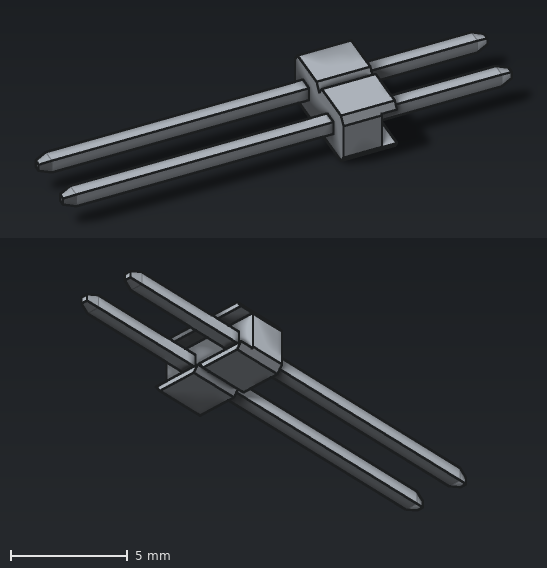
import cadquery as cq

pin_count = 2
body_width = 5.09
body_height = 2.5
body_length = 2.53
pitch = body_width / pin_count
chamfer_width = 0.27
chamfer_height = 0.38

channel_depth = 0.72
channel_height = 1.84

pin_length = 21.1
pin_size = 0.65
tip_size = 0.34
tip_length = 0.55
pin_offset = -0.1
rear_pin_length = 5.93

body_rear = pin_length / 2 - rear_pin_length
body_front = body_rear - body_length
cell_centres = [(i - (pin_count - 1) / 2) * pitch for i in range(pin_count)]


def make_cell(centre_x):
    """One octagonal housing cell, extruded along Y."""
    side = pitch / 2
    top = body_height / 2
    flat_x = side - chamfer_width
    flat_z = top - chamfer_height
    outline = [
        (-side, -flat_z),
        (-flat_x, -top),
        (flat_x, -top),
        (side, -flat_z),
        (side, flat_z),
        (flat_x, top),
        (-flat_x, top),
        (-side, flat_z),
    ]
    return (
        cq.Workplane("XZ", origin=(centre_x, body_rear, 0))
        .polyline(outline)
        .close()
        .extrude(body_length)
    )


def make_tip(centre_x, direction):
    """Tapered pin end, pointing along +Y or -Y."""
    base_y = direction * (pin_length / 2 - tip_length)
    base = cq.Plane(origin=(centre_x, base_y, 0), xDir=(1, 0, 0), normal=(0, direction, 0))
    return (
        cq.Workplane(base)
        .rect(pin_size, pin_size)
        .workplane(offset=tip_length)
        .rect(tip_size, tip_size)
        .loft(ruled=True)
    )


def make_pin(centre_x):
    """Straight square shank with a tapered tip at each end."""
    shank = cq.Workplane("XY").box(pin_size, pin_length - 2 * tip_length, pin_size)
    pin = shank.translate((centre_x, 0, 0))
    for direction in (-1, 1):
        pin = pin.union(make_tip(centre_x, direction))
    return pin


body = make_cell(cell_centres[0])
for centre in cell_centres[1:]:
    body = body.union(make_cell(centre))

channel = cq.Workplane("XY").box(body_width, channel_depth, channel_height)
body = body.cut(channel.translate((0, body_rear - channel_depth / 2, 0)))

result = body
for centre in cell_centres:
    result = result.union(make_pin(centre + pin_offset))